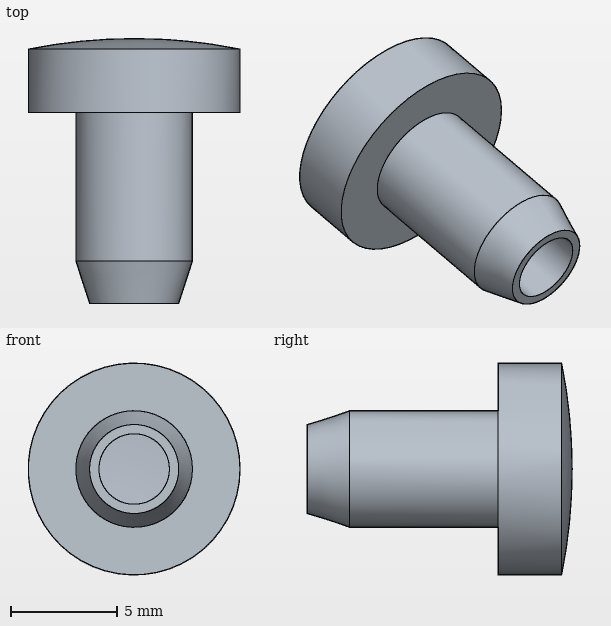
import cadquery as cq

head_diameter = 10.0
head_side_length = 3.0
dome_height = 0.5
shank_diameter = 5.5
shank_length = 7.0
tip_diameter = 4.2
tip_length = 2.0
bore_diameter = 3.32
wall_thickness = (shank_diameter - bore_diameter) / 2

shank_end = -shank_length
tip_end = shank_end - tip_length
dome_start = head_side_length
dome_top = dome_start + dome_height

head_radius = head_diameter / 2
dome_radius = (head_radius**2 + dome_height**2) / (2 * dome_height)
dome_center = dome_top - dome_radius
dome_mid_x = head_radius / 2
dome_mid_y = dome_center + (dome_radius**2 - dome_mid_x**2) ** 0.5


def solid_rivet():
    """Revolve half of the rivet's section about the Y axis."""
    return (
        cq.Workplane("XY")
        .moveTo(0, tip_end)
        .lineTo(tip_diameter / 2, tip_end)
        .lineTo(shank_diameter / 2, shank_end)
        .lineTo(shank_diameter / 2, 0)
        .lineTo(head_radius, 0)
        .lineTo(head_radius, dome_start)
        .threePointArc((dome_mid_x, dome_mid_y), (0, dome_top))
        .close()
        .revolve(360, (0, 0, 0), (0, 1, 0))
    )


def bore():
    """Blind round hole from the tip, with a hollow floor concentric with the dome."""
    cylinder = (
        cq.Workplane("XZ", origin=(0, tip_end, 0))
        .circle(bore_diameter / 2)
        .extrude(tip_end - dome_top)
    )
    floor_sphere = cq.Workplane("XY", origin=(0, dome_center, 0)).sphere(dome_radius - wall_thickness)
    return cylinder.intersect(floor_sphere)


result = solid_rivet().cut(bore())